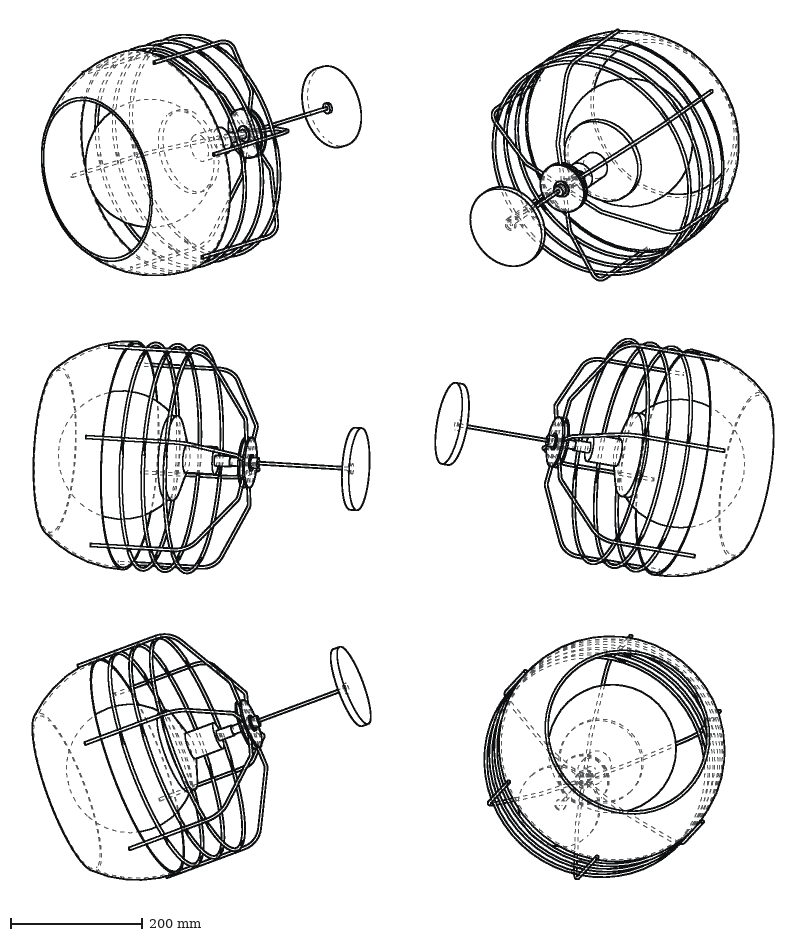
import cadquery as cq
import math


canopy_radius = 63.0
canopy_height = 11.5
canopy_edge_radius = 1.5
collar_radius = 8.0
collar_height = 4.5
cord_radius = 2.5

wire_diameter = 5.0
wire_count = 6
wire_start_angle = 21.4
wire_hub_y = -176.5
wire_end_y = -388.0
spoke_length = 71.0
shoulder_y = -234.5
hub_bend_radius = 14.5
shoulder_bend_radius = 38.5
ring_count = 3
first_ring_y = -262.0
ring_pitch = 34.5
weld_depth = 0.15

shade_diameter = 349.5
shade_wall = 3.5
shade_rim_y = -362.5
shade_end_y = -480.5

plate_radius = 38.5
plate_thickness = 3.0
washer_radius = 12.5
washer_thickness = 2.0
nut_circumradius = 8.5
nut_sides = 8
nut_corner_radius = 2.5
nut_angle = 78.0
nut_top_y = -159.5

stem_radius = 6.5
stem_end_y = -203.0
sleeve_radius = 8.0
sleeve_end_y = -227.0
socket_radius = 21.0
socket_end_y = -273.0
fitter_radius = 65.0
fitter_cone_end_y = -291.0

globe_radius = 98.0
globe_center_y = -374.0

wire_radius = wire_diameter / 2
shade_radius = shade_diameter / 2
collar_end_y = -canopy_height - collar_height
upper_plate_y = wire_hub_y + wire_radius + plate_thickness
lower_plate_y = wire_hub_y - wire_radius
upper_washer_y = upper_plate_y + washer_thickness
lower_washer_y = lower_plate_y - plate_thickness
wire_circle_radius = shade_radius + wire_radius
ring_circle_radius = wire_circle_radius - wire_diameter + weld_depth
globe_top_y = globe_center_y + math.sqrt(globe_radius**2 - fitter_radius**2)


def cylinder(radius, top_y, bottom_y):
    """Cylinder about the Y axis."""
    return cq.Workplane("XZ", origin=(0, top_y, 0)).circle(radius).extrude(top_y - bottom_y)


def revolve_about_y(profile):
    """Full turn about Y of a closed profile drawn as (radius, y)."""
    return profile.revolve(360, (0, 0, 0), (0, 1, 0))


def make_canopy():
    return cylinder(canopy_radius, 0, -canopy_height).edges("<Y").fillet(canopy_edge_radius)


def make_nut():
    nut = (
        cq.Workplane("XZ", origin=(0, nut_top_y, 0))
        .polygon(nut_sides, 2 * nut_circumradius)
        .extrude(nut_top_y - upper_washer_y)
        .edges("|Y")
        .fillet(nut_corner_radius)
    )
    return nut.rotate((0, 0, 0), (0, 1, 0), -nut_angle)


def make_fitter():
    """Conical cap with a short cylindrical skirt that holds the globe."""
    profile = (
        cq.Workplane("XY")
        .moveTo(0, socket_end_y)
        .lineTo(socket_radius, socket_end_y)
        .lineTo(fitter_radius, fitter_cone_end_y)
        .lineTo(fitter_radius, globe_top_y)
        .lineTo(0, globe_top_y)
        .close()
    )
    return revolve_about_y(profile)


def make_pendant():
    pendant = make_canopy()
    pendant = pendant.union(cylinder(collar_radius, -canopy_height, collar_end_y))
    pendant = pendant.union(cylinder(cord_radius, collar_end_y, nut_top_y))
    pendant = pendant.union(make_nut())
    pendant = pendant.union(cylinder(washer_radius, upper_washer_y, upper_plate_y))
    for plate_y in (upper_plate_y, lower_plate_y):
        pendant = pendant.union(cylinder(plate_radius, plate_y, plate_y - plate_thickness))
    pendant = pendant.union(cylinder(washer_radius, lower_washer_y, lower_washer_y - washer_thickness))
    pendant = pendant.union(cylinder(stem_radius, upper_plate_y, stem_end_y))
    pendant = pendant.union(cylinder(sleeve_radius, stem_end_y, sleeve_end_y))
    pendant = pendant.union(cylinder(socket_radius, sleeve_end_y, socket_end_y))
    return pendant.union(make_fitter())


def bend(before, corner, after, radius):
    """Start, middle and end points of the arc that rounds a corner of a path."""
    to_before = (before - corner).normalized()
    to_after = (after - corner).normalized()
    half_angle = to_before.getAngle(to_after) / 2
    setback = radius / math.tan(half_angle)
    bisector = (to_before + to_after).normalized()
    middle = corner + bisector * (radius / math.sin(half_angle) - radius)
    return corner + to_before * setback, middle, corner + to_after * setback


def make_cage_wire():
    """One bent wire in the XY plane: radial spoke, slanted stretch and straight leg."""
    start = cq.Vector(0, wire_hub_y)
    hub_corner = cq.Vector(spoke_length, wire_hub_y)
    shoulder = cq.Vector(wire_circle_radius, shoulder_y)
    end = cq.Vector(wire_circle_radius, wire_end_y)
    hub_from, hub_middle, hub_to = bend(start, hub_corner, shoulder, hub_bend_radius)
    leg_from, leg_middle, leg_to = bend(hub_corner, shoulder, end, shoulder_bend_radius)
    path = (
        cq.Workplane("XY")
        .moveTo(start.x, start.y)
        .lineTo(hub_from.x, hub_from.y)
        .threePointArc(hub_middle.toTuple()[:2], hub_to.toTuple()[:2])
        .lineTo(leg_from.x, leg_from.y)
        .threePointArc(leg_middle.toTuple()[:2], leg_to.toTuple()[:2])
        .lineTo(end.x, end.y)
    )
    wire = cq.Workplane("YZ").center(wire_hub_y, 0).circle(wire_radius).sweep(path)
    return wire.cut(cylinder(stem_radius, upper_plate_y, lower_washer_y))


def make_ring(y):
    return revolve_about_y(cq.Workplane("XY").moveTo(ring_circle_radius, y).circle(wire_radius))


def make_cage():
    wire = make_cage_wire()
    cage = cq.Workplane("XY")
    for index in range(wire_count):
        angle = wire_start_angle + index * 360 / wire_count
        cage = cage.add(wire.rotate((0, 0, 0), (0, 1, 0), -angle))
    cage = cage.combine()
    for index in range(ring_count):
        cage = cage.union(make_ring(first_ring_y - index * ring_pitch))
    return cage


def make_shade():
    """Thin spherical wall from the rim, at its equator, down to the flat open end."""
    inner_radius = shade_radius - shade_wall
    depth = shade_rim_y - shade_end_y
    middle_angle = math.asin(depth / shade_radius) / 2

    def arc_middle(radius):
        return radius * math.cos(middle_angle), shade_rim_y - radius * math.sin(middle_angle)

    def end_point(radius):
        return math.sqrt(radius**2 - depth**2), shade_end_y

    profile = (
        cq.Workplane("XY")
        .moveTo(shade_radius, shade_rim_y)
        .threePointArc(arc_middle(shade_radius), end_point(shade_radius))
        .lineTo(*end_point(inner_radius))
        .threePointArc(arc_middle(inner_radius), (inner_radius, shade_rim_y))
        .close()
    )
    return revolve_about_y(profile)


def make_globe():
    """Sphere cut flat where it meets the fitter."""
    profile = (
        cq.Workplane("XY")
        .moveTo(0, globe_top_y)
        .lineTo(fitter_radius, globe_top_y)
        .threePointArc((globe_radius, globe_center_y), (0, globe_center_y - globe_radius))
        .close()
    )
    return revolve_about_y(profile)


pendant = make_pendant()
cage = make_cage()
shade = make_shade()
globe = make_globe()

result = cq.Compound.makeCompound([pendant.solids().val(), cage.solids().val(), shade.val(), globe.val()])